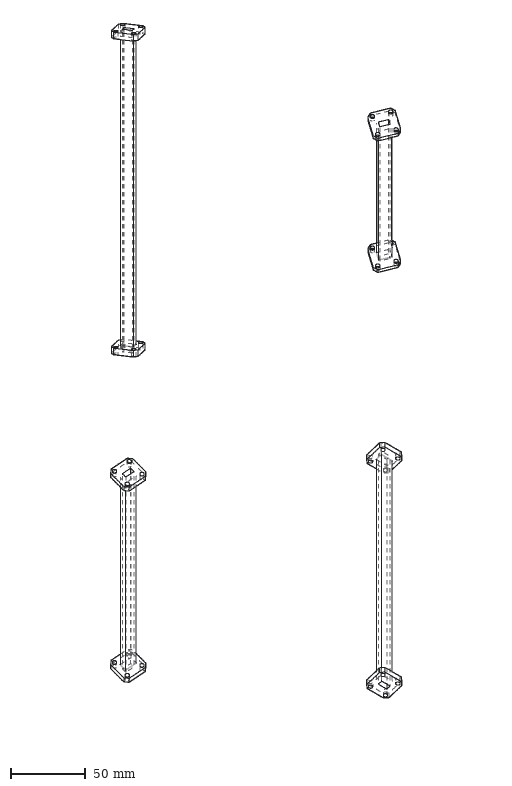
import cadquery as cq

length = 228.6

bore_width = 7.112
bore_height = 3.556
wall = 1.016
tube_width = bore_width + 2 * wall
tube_height = bore_height + 2 * wall

flange_size = 19.05
flange_thickness = 4.7
corner_chamfer = 2.54
hole_diameter = 2.95
hole_spacing_x = 12.7
hole_spacing_y = 13.46

joint_fillet = 0.2


def centered_bar(width, height):
    """Rectangular bar along Z over the full length, centred on the origin."""
    return cq.Workplane("XY").box(width, height, length)


def make_flange(bottom_z):
    """Square flange with chamfered corners and four bolt holes."""
    plate = (
        cq.Workplane("XY", origin=(0, 0, bottom_z))
        .rect(flange_size, flange_size)
        .extrude(flange_thickness)
        .edges("|Z")
        .chamfer(corner_chamfer)
    )
    return (
        plate.faces(">Z")
        .workplane(origin=(0, 0, 0))
        .rect(hole_spacing_x, hole_spacing_y, forConstruction=True)
        .vertices()
        .hole(hole_diameter)
    )


def fillet_joint(body, joint_z):
    """Round the four edges where the tube meets the flange face at joint_z."""
    reach_x = tube_width / 2 + joint_fillet
    reach_y = tube_height / 2 + joint_fillet
    around_joint = cq.selectors.BoxSelector(
        (-reach_x, -reach_y, joint_z - joint_fillet),
        (reach_x, reach_y, joint_z + joint_fillet),
    )
    return body.edges(around_joint).fillet(joint_fillet)


bottom_flange_z = -length / 2
top_flange_z = length / 2 - flange_thickness

body = centered_bar(tube_width, tube_height)
body = body.union(make_flange(bottom_flange_z))
body = body.union(make_flange(top_flange_z))
body = fillet_joint(body, bottom_flange_z + flange_thickness)
body = fillet_joint(body, top_flange_z)

result = body.cut(centered_bar(bore_width, bore_height))